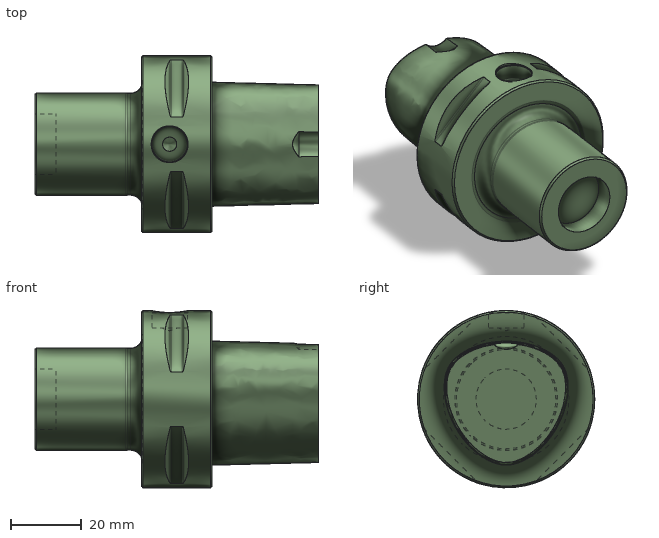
import math

import cadquery as cq


flange_radius = 25.0
flange_width = 20.0
flange_chamfer = 0.5

nose_length = 30.0
nose_radius = 14.5
nose_chamfer = 0.5
neck_radius = 14.4
nose_land_length = 25.6
neck_cone_length = 0.5
neck_land_length = 0.9
neck_fillet_radius = 3.3
face_relief_radius = 18.7
bore_diameter = 17.0
bore_depth = 6.0

shank_length = 30.0
shank_mean_diameter = 35.0
shank_taper = 1 / 20
lobe_eccentricity = 1.12
outline_points = 72

slot_count = 4
slot_first_angle = 45.0
slot_floor_distance = 22.25
slot_floor_width = 3.5
slot_flank_angle = 30.0
slot_corner_radius = 0.4

pocket_diameter = 10.0
pocket_x = -12.0
pocket_floor_height = 20.0
pocket_chamfer = 0.2
pocket_corner_radius = 0.3
dimple_diameter = 4.0
dimple_tip_angle = 140.0

keyway_radius = 5.0
keyway_length = 5.6
keyway_width = 7.3

flange_front_x = -flange_width
nose_end_x = flange_front_x - nose_length
slot_x = -flange_width / 2
shank_end_mean_diameter = shank_mean_diameter - shank_taper * shank_length


def turned_body():
    """Flange, nose, neck and face relief as one revolved profile."""
    land_end_x = nose_end_x + nose_land_length
    neck_start_x = land_end_x + neck_cone_length
    fillet_start_x = neck_start_x + neck_land_length
    fillet_end_x = fillet_start_x + neck_fillet_radius
    fillet_end_radius = neck_radius + neck_fillet_radius
    profile = (
        cq.Workplane("XY")
        .moveTo(nose_end_x, 0)
        .lineTo(nose_end_x, nose_radius - nose_chamfer)
        .lineTo(nose_end_x + nose_chamfer, nose_radius)
        .lineTo(land_end_x, nose_radius)
        .lineTo(neck_start_x, neck_radius)
        .lineTo(fillet_start_x, neck_radius)
        .radiusArc((fillet_end_x, fillet_end_radius), -neck_fillet_radius)
        .lineTo(flange_front_x, face_relief_radius)
        .lineTo(flange_front_x, flange_radius - flange_chamfer)
        .lineTo(flange_front_x + flange_chamfer, flange_radius)
        .lineTo(-flange_chamfer, flange_radius)
        .lineTo(0, flange_radius - flange_chamfer)
        .lineTo(0, 0)
        .close()
    )
    return profile.revolve(360, (0, 0, 0), (1, 0, 0))


def polygon_point(mean_diameter, turn):
    """Point (y, z) of the constant-width three-lobed outline, with one lobe toward -Z."""
    angle = 2 * math.pi * turn
    radius = mean_diameter / 2
    e = lobe_eccentricity
    down = radius * math.cos(angle) + 2 * e * math.cos(2 * angle) - e * math.cos(4 * angle)
    side = radius * math.sin(angle) - 2 * e * math.sin(2 * angle) - e * math.sin(4 * angle)
    return side, -down


def polygon_shank():
    """Shank lofted between its two polygon outlines."""
    return (
        cq.Workplane("YZ")
        .parametricCurve(lambda turn: polygon_point(shank_mean_diameter, turn), N=outline_points)
        .workplane(offset=shank_length)
        .parametricCurve(lambda turn: polygon_point(shank_end_mean_diameter, turn), N=outline_points)
        .loft(ruled=True)
    )


def front_bore():
    """Blind bore in the end of the nose."""
    return cq.Workplane("YZ", origin=(nose_end_x, 0, 0)).circle(bore_diameter / 2).extrude(bore_depth)


def gripper_slot(angle):
    """Straight slot with a flat floor and sloping flanks, turned about X to the given angle."""
    depth = flange_radius - slot_floor_distance
    floor_half = slot_floor_width / 2
    top_half = floor_half + depth * math.tan(math.radians(slot_flank_angle))
    cutter = (
        cq.Workplane("XZ")
        .polyline([
            (slot_x - floor_half, slot_floor_distance),
            (slot_x + floor_half, slot_floor_distance),
            (slot_x + top_half, flange_radius),
            (slot_x - top_half, flange_radius),
        ])
        .close()
        .extrude(flange_radius, both=True)
        .edges("|Y and <Z")
        .fillet(slot_corner_radius)
    )
    return cutter.rotate((0, 0, 0), (1, 0, 0), angle)


def top_pocket():
    """Blind pocket with a chamfered rim, a rounded floor corner and a conical dimple in its floor."""
    radius = pocket_diameter / 2
    dimple_radius = dimple_diameter / 2
    dimple_depth = dimple_radius / math.tan(math.radians(dimple_tip_angle / 2))
    rim_height = math.sqrt(flange_radius**2 - radius**2)
    profile = (
        cq.Workplane("XZ", origin=(pocket_x, 0, 0))
        .moveTo(0, pocket_floor_height - dimple_depth)
        .lineTo(dimple_radius, pocket_floor_height)
        .lineTo(radius - pocket_corner_radius, pocket_floor_height)
        .radiusArc((radius, pocket_floor_height + pocket_corner_radius), -pocket_corner_radius)
        .lineTo(radius, rim_height - pocket_chamfer)
        .lineTo(radius + pocket_chamfer, rim_height)
        .lineTo(radius + pocket_chamfer, flange_radius)
        .lineTo(0, flange_radius)
        .close()
    )
    return profile.revolve(360, (0, 0, 0), (0, 1, 0))


def shank_keyway():
    """Cylindrical trough along X, closed by a 45 degree cone at its inner end."""
    shank_end_height = shank_end_mean_diameter / 2 - lobe_eccentricity
    axis_height = shank_end_height + math.sqrt(keyway_radius**2 - (keyway_width / 2) ** 2)
    cylinder_start_x = shank_length - keyway_length
    profile = (
        cq.Workplane("XZ", origin=(0, 0, axis_height))
        .moveTo(cylinder_start_x - keyway_radius, 0)
        .lineTo(cylinder_start_x, -keyway_radius)
        .lineTo(shank_length, -keyway_radius)
        .lineTo(shank_length, 0)
        .close()
    )
    return profile.revolve(360, (0, 0, 0), (1, 0, 0))


result = turned_body().union(polygon_shank()).cut(front_bore())
for slot_index in range(slot_count):
    result = result.cut(gripper_slot(slot_first_angle + slot_index * 360 / slot_count))
result = result.cut(top_pocket()).cut(shank_keyway())